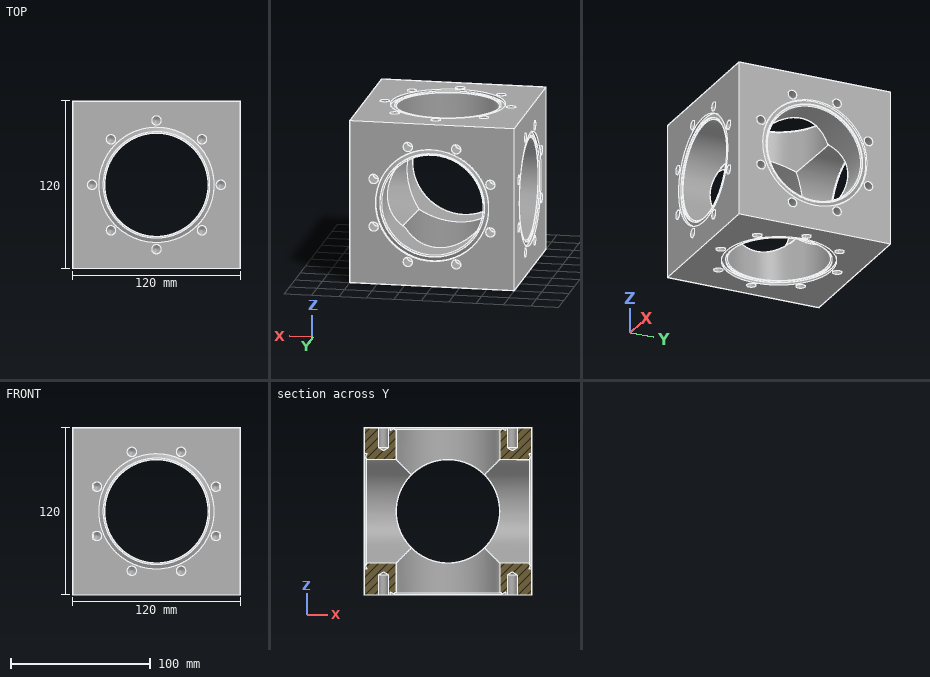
import cadquery as cq
import math

SIDE = 120.0
HALF = SIDE / 2

BORE_RADIUS = 37.0
SEAL_TIP_RADIUS = 38.2
RECESS_RADIUS = 41.3
SEAL_TIP_DEPTH = 0.5
RECESS_DEPTH = 1.9
BORE_SHELF_DEPTH = 1.5

BOLT_COUNT = 8
BOLT_CIRCLE_RADIUS = 46.1
BOLT_HOLE_RADIUS = 3.4
BOLT_HOLE_DEPTH = 14.4
DRILL_POINT_ANGLE = 118.0
DRILL_POINT_HEIGHT = BOLT_HOLE_RADIUS / math.tan(math.radians(DRILL_POINT_ANGLE / 2))

BOLT_STEP = 360.0 / BOLT_COUNT


def revolve_about_z(points):
    """Turn an (r, z) outline about the Z axis."""
    return cq.Workplane("XZ").polyline(points).close().revolve(360, (0, 0), (0, 1))


def port_cutter(first_bolt_angle):
    """Material removed by the +Z port: half the bore, the seal recess and the bolt holes."""
    cutter = revolve_about_z([
        (0, 0),
        (BORE_RADIUS, 0),
        (BORE_RADIUS, HALF - BORE_SHELF_DEPTH),
        (SEAL_TIP_RADIUS, HALF - BORE_SHELF_DEPTH),
        (SEAL_TIP_RADIUS, HALF - SEAL_TIP_DEPTH),
        (RECESS_RADIUS, HALF - RECESS_DEPTH),
        (RECESS_RADIUS, HALF),
        (0, HALF),
    ])
    bolt_hole = revolve_about_z([
        (0, HALF),
        (BOLT_HOLE_RADIUS, HALF),
        (BOLT_HOLE_RADIUS, HALF - BOLT_HOLE_DEPTH),
        (0, HALF - BOLT_HOLE_DEPTH - DRILL_POINT_HEIGHT),
    ]).translate((BOLT_CIRCLE_RADIUS, 0, 0))
    for index in range(BOLT_COUNT):
        angle = first_bolt_angle + index * BOLT_STEP
        cutter = cutter.union(bolt_hole.rotate((0, 0, 0), (0, 0, 1), angle))
    return cutter


end_port = port_cutter(0)
side_port = port_cutter(BOLT_STEP / 2)

result = cq.Workplane("XY").box(SIDE, SIDE, SIDE)
for tilt in (0, 180):
    result = result.cut(end_port.rotate((0, 0, 0), (1, 0, 0), tilt))
for tilt in (90, -90):
    result = result.cut(side_port.rotate((0, 0, 0), (1, 0, 0), tilt))
    result = result.cut(side_port.rotate((0, 0, 0), (0, 1, 0), tilt))